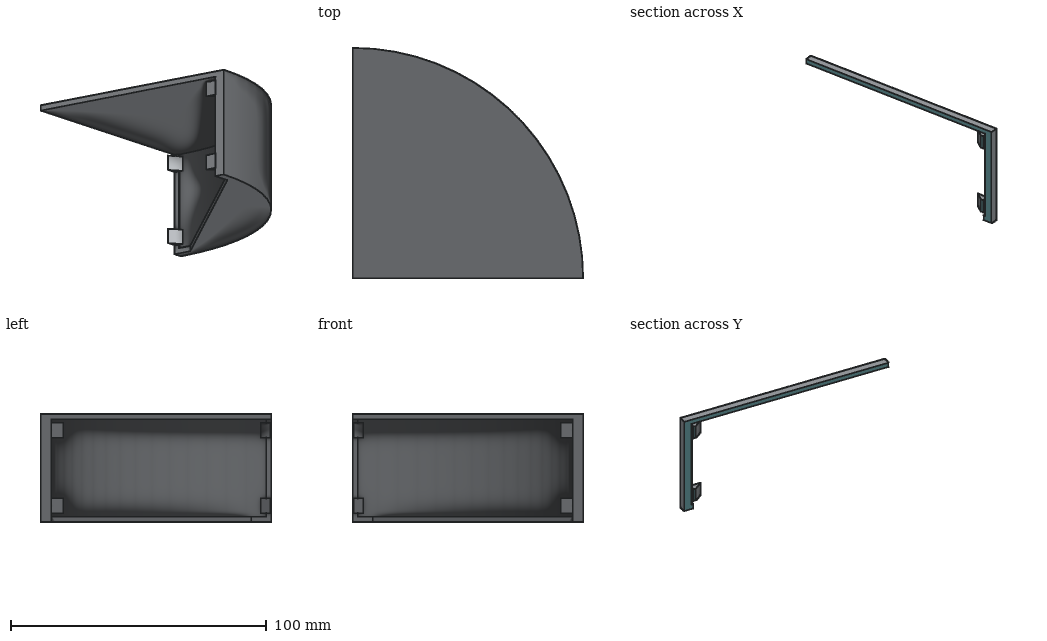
import cadquery as cq
import math

outer_radius = 90.2
height = 42.4
plate_thickness = 2.2
cavity_radius = 84.8
lip_width = 2.0
end_thickness = 4.2
floor_corner = 7.8

tab_reach = 4.7
tab_width = 3.65
tab_height = 5.8
tab_setback = 0.4
tab_margin = 3.5

opening = outer_radius - end_thickness
cavity_height = height - 2 * plate_thickness


def quarter_disc(radius, thickness):
    """Quarter disc in the +X +Y quadrant, resting on Z = 0."""
    diagonal = radius * math.sqrt(0.5)
    return (
        cq.Workplane("XY")
        .lineTo(radius, 0)
        .threePointArc((diagonal, diagonal), (0, radius))
        .close()
        .extrude(thickness)
    )


def cut_corner_square(corner_width, thickness):
    """Square as wide as the opening, its far corner cut off diagonally."""
    return (
        cq.Workplane("XY")
        .lineTo(opening, 0)
        .lineTo(opening, corner_width)
        .lineTo(corner_width, opening)
        .lineTo(0, opening)
        .close()
        .extrude(thickness)
    )


def cavity():
    """Room between floor and roof, leaving a lip at each end of the curved wall."""
    behind_lips = quarter_disc(cavity_radius, cavity_height).translate((lip_width, lip_width, 0))
    between_lips = cut_corner_square(lip_width, cavity_height)
    return behind_lips.union(between_lips).translate((0, 0, plate_thickness))


def floor_cutout():
    """Corner of the floor to remove, leaving a straight diagonal edge."""
    return cut_corner_square(floor_corner, plate_thickness)


def tab(bottom):
    """Triangular tab on the lip at the Y end of the curved wall."""
    return (
        cq.Workplane("XY", origin=(tab_setback, opening, bottom))
        .lineTo(0, -tab_reach)
        .lineTo(tab_width, 0)
        .close()
        .extrude(tab_height)
    )


result = quarter_disc(outer_radius, height).cut(cavity()).cut(floor_cutout())

for tab_bottom in (tab_margin, height - tab_margin - tab_height):
    end_tab = tab(tab_bottom)
    opposite_tab = end_tab.mirror("YZ").rotate((0, 0, 0), (0, 0, 1), -90)
    result = result.union(end_tab).union(opposite_tab)